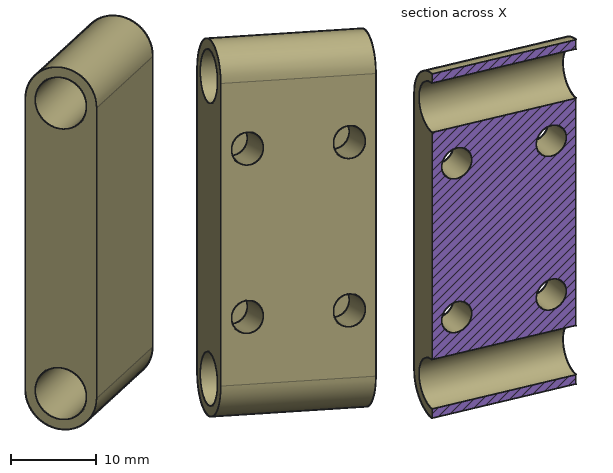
import cadquery as cq

height = 44.8
thickness = 8.85
width = 19.05
end_radius = thickness / 2
end_spacing = height - thickness

bore_diameter = 6.35

hole_diameter = 3.9
hole_depth = 6.0
hole_spacing_y = 12.5
hole_spacing_z = 20.0


def make_body():
    """Upright slot outline, extruded symmetrically along Y."""
    return cq.Workplane("XZ").slot2D(height, thickness, 90).extrude(width / 2, both=True)


def make_bores():
    """Cylinders for the two pivot bores."""
    return (
        cq.Workplane("XZ")
        .rarray(0.45, end_spacing, 1, 2)
        .circle(bore_diameter / 2)
        .extrude(width / 2, both=True)
    )


def make_blind_holes():
    """Four flat-bottomed cylinders running inward from the -X face."""
    return (
        cq.Workplane("YZ", origin=(-end_radius, 0, 0))
        .rarray(hole_spacing_y, hole_spacing_z, 2, 2)
        .circle(hole_diameter / 2)
        .extrude(hole_depth)
    )


result = make_body().cut(make_bores()).cut(make_blind_holes())